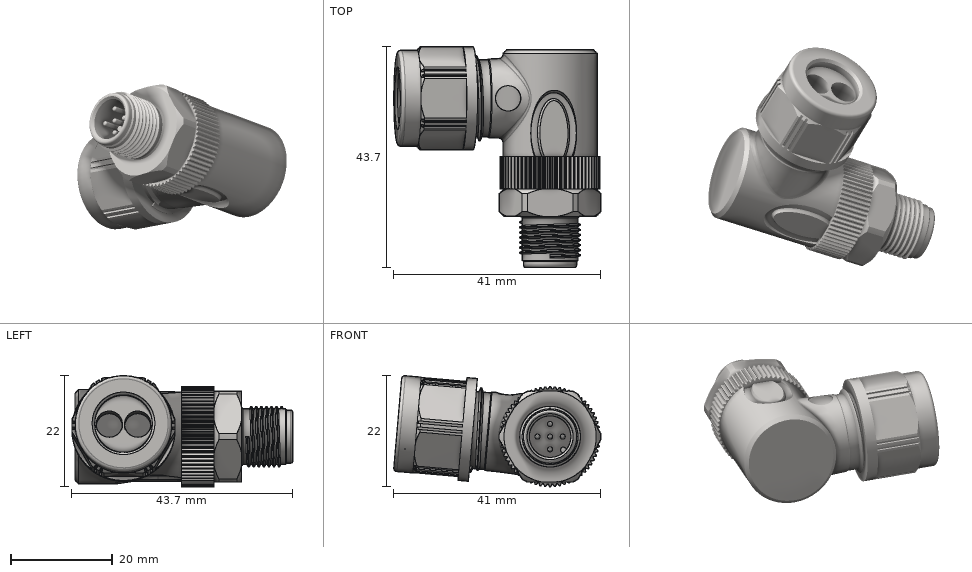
import cadquery as cq
import math


OUTLET_TILT = 5.0

BODY_RADIUS = 9.34
BODY_BACK_Y = 9.6
BODY_EDGE_CHAMFER = 0.75
BOOT_ROOT_RADIUS = 8.3
BOOT_END_RADIUS = 7.8
BOOT_END = 12.2
BOOT_STEP = 0.2
BOOT_BLEND = 0.8
JOINT_MARGIN = 0.1
DIMPLE_RADIUS = 2.5
DIMPLE_DISTANCE = 9.0
DIMPLE_FLOOR = 7.5

BADGE_Y = -6.85
BADGE_HALF_WIDTH = 4.5
BADGE_HALF_LENGTH = 7.95
BADGE_FLOOR = 8.0
BADGE_WALL_DRAFT = 20.0
BADGE_CLEARANCE = 0.2
PLATE_HALF_WIDTH = 3.2
PLATE_HALF_LENGTH = 6.8
PLATE_TOP = 8.7
PLATE_WALL_DRAFT = 30.0

NECK_RADIUS = 7.64
NECK_THREAD_START = 13.7
NECK_THREAD_START_ANGLE = 160.0
NECK_THREAD_RADIUS = 8.45
NECK_THREAD_ROOT_HALF_WIDTH = 0.5
NECK_THREAD_PITCH = 1.5
NECK_THREAD_TURNS = 1.0
FLANGE_START = 15.3
FLANGE_END = 17.4
FLANGE_RADIUS = 10.22
GLAND_FACE = 30.25
GLAND_RADIUS = 9.53
GLAND_EDGE_ROUND = 0.7
GLAND_HEX_END = 26.4
GLAND_HEX_FLATS = 18.9
GRIP_GROOVE_WIDTH = 0.5
GRIP_GROOVE_DEPTH = 0.5
GRIP_GROOVE_OFFSET = 0.6
SEAL_RECESS_RADIUS = 5.7
SEAL_RECESS_DEPTH = 1.9
SEAL_RECESS_CHAMFER = 0.5
CABLE_HOLE_RADIUS = 2.6
CABLE_HOLE_OFFSET = 2.81
CABLE_HOLE_DEPTH = 6.0

KNURL_START_Y = -11.46
KNURL_END_Y = -17.9
KNURL_RADIUS = 9.9
KNURL_ROOT_RADIUS = 9.45
KNURL_TEETH = 64
KNURL_FLAT_SHARE = 0.2

NUT_END_Y = -23.34
NUT_FLATS = 18.0
NUT_CORNER_RADIUS = 10.06
NUT_CHAMFER = 0.95

PLUG_RADIUS = 5.52
PLUG_BASE_CHAMFER = 0.3
PLUG_SHOULDER_Y = -32.0
PLUG_TIP_RADIUS = 5.27
PLUG_TIP_Y = -33.48
PLUG_TIP_ROUND = 0.5
THREAD_RADIUS = 6.0
THREAD_PITCH = 1.0
THREAD_START_Y = -24.5
THREAD_TURNS = 6.75
THREAD_ROOT_HALF_WIDTH = 0.4
THREAD_CREST_HALF_WIDTH = 0.08
THREAD_OVERLAP = 0.1
BORE_RADIUS = 4.1
BORE_CHAMFER = 0.45
BORE_DEPTH = 8.5
PIN_RADIUS = 0.5
PIN_CIRCLE_RADIUS = 2.5
PIN_RECESS = 1.65
PIN_TIP_ROUND = 0.3
KEY_RADIUS = 0.55
KEY_CENTRE_RADIUS = 3.7
KEY_ANGLE = -45.0


def revolve_about_plug_axis(points):
    """Revolve a closed (radius, y) outline about Y."""
    return cq.Workplane("XY").polyline(points).close().revolve(360, (0, 0, 0), (0, 1, 0))


def revolve_about_outlet_axis(points):
    """Revolve a closed (distance along the outlet, radius) outline about X."""
    outline = [(-distance, radius) for distance, radius in points]
    return cq.Workplane("XY").polyline(outline).close().revolve(360, (0, 0, 0), (1, 0, 0))


def plug_plane(y):
    """Sketch plane across the plug axis; extrusions grow towards -Y."""
    return cq.Workplane("XZ", origin=(0, y, 0))


def outlet_plane(distance):
    """Sketch plane across the outlet axis; local x is Y and extrusions grow towards the elbow."""
    return cq.Workplane("YZ", origin=(-distance, 0, 0))


def helical_ridge(shank_radius, crest_radius, root_half_width, crest_half_width, pitch, turns):
    """Right-handed thread ridge around Z, starting on the +X side at z = 0."""
    root_radius = shank_radius - THREAD_OVERLAP
    helix = cq.Wire.makeHelix(pitch, pitch * turns, root_radius)
    return (
        cq.Workplane("XZ")
        .polyline([
            (root_radius, -root_half_width),
            (crest_radius, -crest_half_width),
            (crest_radius, crest_half_width),
            (root_radius, root_half_width),
        ])
        .close()
        .sweep(cq.Workplane(helix), isFrenet=True)
    )


def hexagon_points(across_flats):
    """Corners of a regular hexagon with one corner on the local x axis."""
    corner_radius = across_flats / 2 / math.cos(math.pi / 6)
    corner_angles = [math.pi / 3 * corner for corner in range(6)]
    return [(corner_radius * math.cos(a), corner_radius * math.sin(a)) for a in corner_angles]


def make_housing():
    body = plug_plane(BODY_BACK_Y).circle(BODY_RADIUS).extrude(BODY_BACK_Y - KNURL_START_Y)
    boot = revolve_about_outlet_axis([
        (0, 0),
        (0, BOOT_ROOT_RADIUS),
        (BOOT_END, BOOT_END_RADIUS),
        (BOOT_END + BOOT_STEP, NECK_RADIUS),
        (BOOT_END + BOOT_STEP, 0),
    ])
    joint_box = cq.selectors.BoxSelector(
        (-BODY_RADIUS - JOINT_MARGIN, -BODY_RADIUS, -BODY_RADIUS),
        (-JOINT_MARGIN, BODY_RADIUS, BODY_RADIUS),
    )
    housing = body.union(boot)
    housing = housing.edges(joint_box).fillet(BOOT_BLEND)
    housing = housing.faces(">Y").edges().chamfer(BODY_EDGE_CHAMFER)
    dimple = (
        cq.Workplane("XY", origin=(-DIMPLE_DISTANCE, 0, DIMPLE_FLOOR))
        .circle(DIMPLE_RADIUS)
        .extrude(BODY_RADIUS)
    )
    return housing.cut(dimple)


def badge_recess():
    """Oval recess on the upper side, leaving a lower flat oval plate standing in it."""
    base = cq.Workplane("XY", origin=(0, BADGE_Y, BADGE_FLOOR))
    recess = base.ellipse(BADGE_HALF_WIDTH, BADGE_HALF_LENGTH).extrude(
        BODY_RADIUS + BADGE_CLEARANCE - BADGE_FLOOR, taper=-BADGE_WALL_DRAFT
    )
    plate = base.ellipse(PLATE_HALF_WIDTH, PLATE_HALF_LENGTH).extrude(
        PLATE_TOP - BADGE_FLOOR, taper=PLATE_WALL_DRAFT
    )
    return recess.cut(plate)


def make_neck():
    return revolve_about_outlet_axis([
        (BOOT_END, 0),
        (BOOT_END, NECK_RADIUS),
        (FLANGE_START, NECK_RADIUS),
        (FLANGE_START, 0),
    ])


def make_neck_thread():
    """Single thread turn that runs out of the gland nut."""
    ridge = helical_ridge(
        NECK_RADIUS, NECK_THREAD_RADIUS, NECK_THREAD_ROOT_HALF_WIDTH, THREAD_CREST_HALF_WIDTH,
        NECK_THREAD_PITCH, NECK_THREAD_TURNS,
    )
    ridge = ridge.rotate((0, 0, 0), (0, 1, 0), -90).translate((-NECK_THREAD_START, 0, 0))
    return ridge.rotate((0, 0, 0), (1, 0, 0), NECK_THREAD_START_ANGLE)


def make_gland_nut():
    flange = outlet_plane(FLANGE_END).circle(FLANGE_RADIUS).extrude(FLANGE_END - FLANGE_START)
    front = outlet_plane(GLAND_FACE).circle(GLAND_RADIUS).extrude(GLAND_FACE - GLAND_HEX_END)
    front = front.faces("<X").edges().fillet(GLAND_EDGE_ROUND)
    hexagon = (
        outlet_plane(GLAND_HEX_END)
        .polyline(hexagon_points(GLAND_HEX_FLATS))
        .close()
        .extrude(GLAND_HEX_END - FLANGE_END)
    )
    corner_chamfer = FLANGE_RADIUS - GLAND_RADIUS
    corner_limit = (
        outlet_plane(GLAND_HEX_END)
        .circle(FLANGE_RADIUS)
        .extrude(GLAND_HEX_END - FLANGE_END)
        .faces("<X").edges().chamfer(corner_chamfer)
    )
    hexagon = hexagon.intersect(corner_limit)
    for corner in range(6):
        for side in (-1, 1):
            groove = (
                outlet_plane(GLAND_HEX_END)
                .center(FLANGE_RADIUS, side * GRIP_GROOVE_OFFSET)
                .rect(2 * GRIP_GROOVE_DEPTH, GRIP_GROOVE_WIDTH)
                .extrude(GLAND_HEX_END - FLANGE_END)
                .rotate((0, 0, 0), (1, 0, 0), 60 * corner)
            )
            hexagon = hexagon.cut(groove)
    return flange.union(hexagon).union(front)


def cut_cable_entry(gland):
    mouth_radius = SEAL_RECESS_RADIUS + SEAL_RECESS_CHAMFER
    floor = GLAND_FACE - SEAL_RECESS_DEPTH
    recess = revolve_about_outlet_axis([
        (floor, 0),
        (floor, SEAL_RECESS_RADIUS),
        (GLAND_FACE - SEAL_RECESS_CHAMFER, SEAL_RECESS_RADIUS),
        (GLAND_FACE, mouth_radius),
        (GLAND_FACE, 0),
    ])
    cable_holes = (
        outlet_plane(floor)
        .pushPoints([(-CABLE_HOLE_OFFSET, 0), (CABLE_HOLE_OFFSET, 0)])
        .circle(CABLE_HOLE_RADIUS)
        .extrude(CABLE_HOLE_DEPTH)
    )
    return gland.cut(recess).cut(cable_holes)


def make_knurled_collar():
    outline = []
    pitch_angle = 2 * math.pi / KNURL_TEETH
    half_flat = KNURL_FLAT_SHARE / 2
    for tooth in range(KNURL_TEETH):
        for radius, position in [
            (KNURL_RADIUS, -half_flat),
            (KNURL_RADIUS, half_flat),
            (KNURL_ROOT_RADIUS, 0.5 - half_flat),
            (KNURL_ROOT_RADIUS, 0.5 + half_flat),
        ]:
            angle = (tooth + position) * pitch_angle
            outline.append((radius * math.cos(angle), radius * math.sin(angle)))
    return plug_plane(KNURL_START_Y).polyline(outline).close().extrude(KNURL_START_Y - KNURL_END_Y)


def make_plug_nut():
    length = KNURL_END_Y - NUT_END_Y
    hexagon = plug_plane(KNURL_END_Y).polyline(hexagon_points(NUT_FLATS)).close().extrude(length)
    corner_limit = plug_plane(KNURL_END_Y).circle(NUT_CORNER_RADIUS).extrude(length)
    corner_limit = corner_limit.faces("<Y or >Y").edges().chamfer(NUT_CHAMFER)
    return hexagon.intersect(corner_limit)


def make_plug_shank():
    shank = revolve_about_plug_axis([
        (0, NUT_END_Y),
        (PLUG_RADIUS + PLUG_BASE_CHAMFER, NUT_END_Y),
        (PLUG_RADIUS, NUT_END_Y - PLUG_BASE_CHAMFER),
        (PLUG_RADIUS, PLUG_SHOULDER_Y),
        (PLUG_TIP_RADIUS, PLUG_SHOULDER_Y - (PLUG_RADIUS - PLUG_TIP_RADIUS)),
        (PLUG_TIP_RADIUS, PLUG_TIP_Y),
        (0, PLUG_TIP_Y),
    ])
    return shank.faces("<Y").edges().fillet(PLUG_TIP_ROUND)


def make_plug_thread():
    ridge = helical_ridge(
        PLUG_RADIUS, THREAD_RADIUS, THREAD_ROOT_HALF_WIDTH, THREAD_CREST_HALF_WIDTH,
        THREAD_PITCH, THREAD_TURNS,
    )
    ridge = ridge.rotate((0, 0, 0), (0, 0, 1), 180)
    return ridge.rotate((0, 0, 0), (1, 0, 0), 90).translate((0, THREAD_START_Y, 0))


def make_plug_bore():
    floor = PLUG_TIP_Y + BORE_DEPTH
    bore = revolve_about_plug_axis([
        (0, floor),
        (BORE_RADIUS, floor),
        (BORE_RADIUS, PLUG_TIP_Y + BORE_CHAMFER),
        (BORE_RADIUS + BORE_CHAMFER, PLUG_TIP_Y),
        (0, PLUG_TIP_Y),
    ])
    key_angle = math.radians(KEY_ANGLE)
    key = (
        plug_plane(floor)
        .center(KEY_CENTRE_RADIUS * math.cos(key_angle), KEY_CENTRE_RADIUS * math.sin(key_angle))
        .circle(KEY_RADIUS)
        .extrude(BORE_DEPTH - BORE_CHAMFER)
    )
    return bore.cut(key)


def make_pins():
    positions = [(0, 0)]
    for quarter in range(4):
        angle = math.radians(90 * quarter)
        positions.append((PIN_CIRCLE_RADIUS * math.cos(angle), PIN_CIRCLE_RADIUS * math.sin(angle)))
    pins = plug_plane(PLUG_TIP_Y + BORE_DEPTH).pushPoints(positions)
    pins = pins.circle(PIN_RADIUS).extrude(BORE_DEPTH - PIN_RECESS)
    return pins.faces("<Y").edges().fillet(PIN_TIP_ROUND)


recess = badge_recess()
outlet = make_housing().cut(recess).cut(recess.mirror("XY"))
gland = cut_cable_entry(make_gland_nut())
outlet = outlet.union(make_neck()).union(make_neck_thread()).union(gland)
outlet = outlet.rotate((0, 0, 0), (0, 1, 0), OUTLET_TILT)

plug = make_plug_shank().union(make_plug_thread()).cut(make_plug_bore()).union(make_pins())

result = outlet.union(make_knurled_collar()).union(make_plug_nut()).union(plug)